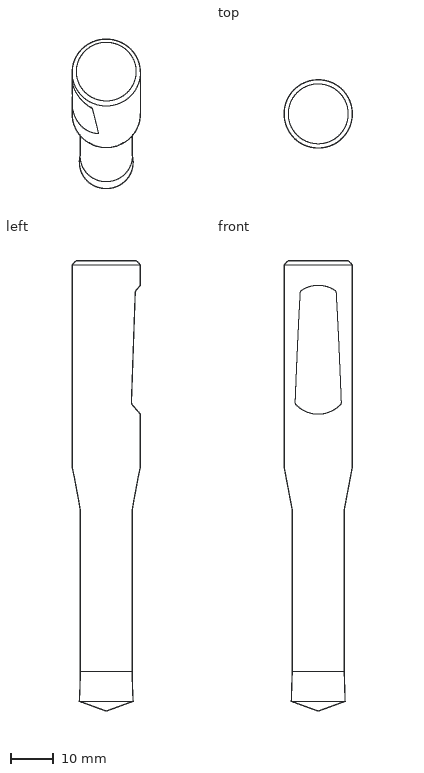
import cadquery as cq
import math

total_length = 105.0

shank_radius = 16.0 / 2
neck_radius = 12.2 / 2
top_chamfer = 1.0
shoulder_top = 56.9
shoulder_bottom = 46.9

tip_height = 9.2
tip_top_radius = 12.2 / 2
tip_cutting_radius = 12.6 / 2
point_angle = 140.0
point_height = tip_cutting_radius / math.tan(math.radians(point_angle / 2))

flat_top = 97.9
flat_bottom = 71.6
flat_slope = 2.0
flat_bottom_depth = 2.1
flat_top_depth = flat_bottom_depth - (flat_top - flat_bottom) * math.tan(math.radians(flat_slope))
recess_top = 99.2
recess_bottom = 69.2
recess_corner_radius = 1.0


def make_holder():
    """Turned body with the sloping clamping flat cut into its shank."""
    body = (
        cq.Workplane("XZ")
        .moveTo(0, tip_height)
        .lineTo(neck_radius, tip_height)
        .lineTo(neck_radius, shoulder_bottom)
        .lineTo(shank_radius, shoulder_top)
        .lineTo(shank_radius, total_length - top_chamfer)
        .lineTo(shank_radius - top_chamfer, total_length)
        .lineTo(0, total_length)
        .close()
        .revolve(360, (0, 0), (0, 1))
    )
    return body.cut(make_flat_cutter())


def make_flat_cutter():
    """Prism along X: sloping floor with rounded corners to its inclined end walls."""
    return (
        cq.Workplane("YZ")
        .moveTo(-shank_radius, recess_top)
        .lineTo(-shank_radius + flat_top_depth, flat_top)
        .lineTo(-shank_radius + flat_bottom_depth, flat_bottom)
        .lineTo(-shank_radius, recess_bottom)
        .close()
        .extrude(shank_radius, both=True)
        .edges("|X").edges("not <Y")
        .fillet(recess_corner_radius)
    )


def make_cutting_tip():
    """Pointed tip, widest where its cone starts, with its flat top against the neck."""
    return (
        cq.Workplane("XZ")
        .lineTo(tip_cutting_radius, point_height)
        .lineTo(tip_top_radius, tip_height)
        .lineTo(0, tip_height)
        .close()
        .revolve(360, (0, 0), (0, 1))
    )


holder = make_holder()
cutting_tip = make_cutting_tip()

result = cq.Compound.makeCompound([holder.val(), cutting_tip.val()])